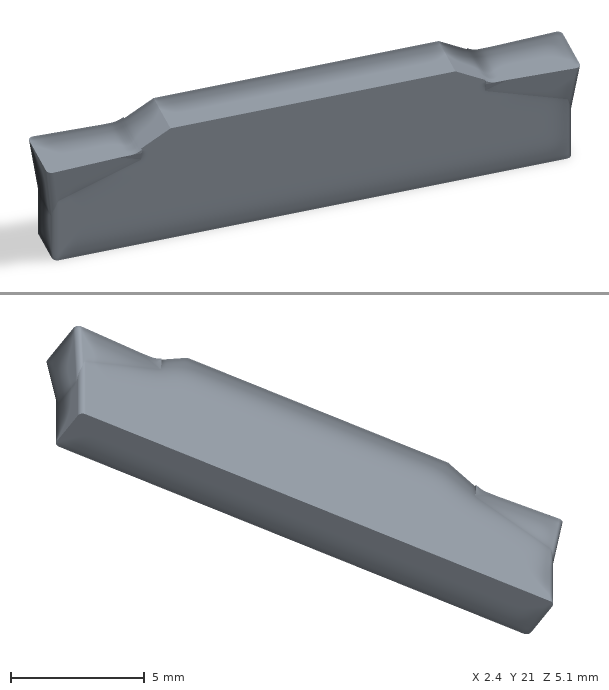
import cadquery as cq
import math

length = 21.0
height = 5.1
body_width = 2.0
edge_width = 2.4
edge_height = 4.28
clearance_angle = 7.0
back_taper_angle = 2.5
clearance_depth = 2.4
corner_radius = 0.2
ridge_length = 11.21
ramp_angle = 30.0
ramp_blend_radius = 0.78
shoulder_start = 2.3
shoulder_end = 3.74
shoulder_base_height = 3.93
shoulder_width = 2.16

half_length = length / 2
end_inset = clearance_depth * math.tan(math.radians(clearance_angle))
body_length = length - 2 * end_inset
ramp_foot = ridge_length / 2 + (height - edge_height) / math.tan(math.radians(ramp_angle))


def side_profile(profile_length, width):
    """Side outline with a raised ridge, extruded symmetrically across X."""
    end = profile_length / 2
    outline = (
        cq.Workplane("YZ")
        .moveTo(-end, 0)
        .lineTo(end, 0)
        .lineTo(end, edge_height)
        .lineTo(ramp_foot, edge_height)
        .lineTo(ridge_length / 2, height)
        .lineTo(-ridge_length / 2, height)
        .lineTo(-ramp_foot, edge_height)
        .lineTo(-end, edge_height)
        .close()
        .extrude(width / 2, both=True)
    )
    ramp_feet = cq.selectors.BoxSelector(
        (-width, -ramp_foot - corner_radius, edge_height - corner_radius),
        (width, ramp_foot + corner_radius, edge_height + corner_radius),
    )
    return outline.edges("|X").edges(ramp_feet).fillet(ramp_blend_radius)


def cutting_head():
    """Head at the -Y end, tapering downward and toward the middle."""
    front = -half_length
    rear = front + shoulder_end
    taper = math.radians(back_taper_angle)
    front_half = edge_width / 2 + corner_radius * (1 - math.sin(taper)) * math.tan(taper)
    rear_half = front_half - shoulder_end * math.tan(taper)
    plan = [(-front_half, front), (front_half, front), (rear_half, rear), (-rear_half, rear)]
    head = (
        cq.Workplane("XY", origin=(0, 0, edge_height))
        .polyline(plan)
        .close()
        .extrude(-clearance_depth, taper=clearance_angle)
    )
    front_corners = head.faces("<Y").edges("not #Z").edges("not |X")
    return front_corners.fillet(corner_radius)


def shoulder():
    """Flared side blend behind the -Y head, trimmed to the side profile."""
    base_half = body_width / 2
    top_half = shoulder_width / 2
    section = [
        (-base_half, shoulder_base_height),
        (base_half, shoulder_base_height),
        (top_half, edge_height),
        (top_half, height),
        (-top_half, height),
        (-top_half, edge_height),
    ]
    flared_block = (
        cq.Workplane("XZ", origin=(0, shoulder_start - half_length, 0))
        .polyline(section)
        .close()
        .extrude(shoulder_start - shoulder_end)
    )
    return flared_block.intersect(side_profile(length, 2 * edge_width))


body = side_profile(body_length, body_width)
body = body.faces("<Y or >Y").edges("|Z").fillet(corner_radius)

head_end = cutting_head().union(shoulder())
result = body.union(head_end).union(head_end.mirror("XZ"))